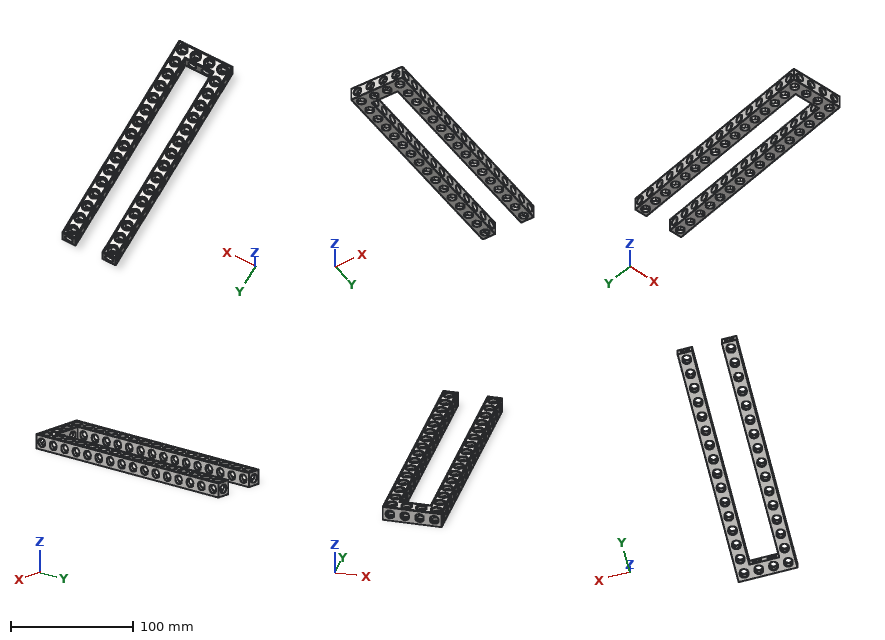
import cadquery as cq

length = 200
holes_across = 4
holes_along = 16
hole_diameter = 7.0
collar_diameter = 9.2
edge_chamfer = 0.3
recess_depth = 0.2

pitch = length / holes_along
width = holes_across * pitch
height = pitch
rim_width = (collar_diameter - hole_diameter) / 2

columns = [(i - (holes_across - 1) / 2) * pitch for i in range(holes_across)]
rows = [(j - (holes_along - 1) / 2) * pitch for j in range(holes_along)]
leg_columns = [columns[0], columns[-1]]
inner_columns = columns[1:-1]
bar_row = rows[0]
vertical_centres = [(x, y) for x in leg_columns for y in rows]
vertical_centres += [(x, bar_row) for x in inner_columns]

origin = cq.Vector(0, 0, 0)
x_axis = cq.Vector(1, 0, 0)
y_axis = cq.Vector(0, 1, 0)


def u_prism(inset, thickness):
    """U-shaped plate, legs toward +Y, with its outline moved inward by inset."""
    outer = cq.Workplane("XY").box(width - 2 * inset, length - 2 * inset, thickness)
    slot_width = width - 2 * pitch + 2 * inset
    slot = cq.Workplane("XY").box(slot_width, length, thickness)
    return outer.cut(slot.translate((0, pitch - inset, 0)))


def chamfered_frame():
    """Solid U with every edge chamfered except the two upright inner corners of the slot."""
    slot_half = width / 2 - pitch
    slot_bottom = -length / 2 + pitch
    margin = edge_chamfer
    inner_corners = cq.selectors.BoxSelector(
        (-slot_half - margin, slot_bottom - margin, -margin),
        (slot_half + margin, slot_bottom + margin, margin),
    )
    all_edges = cq.selectors.StringSyntaxSelector("|X or |Y or |Z")
    return u_prism(0, height).edges(all_edges - inner_corners).chamfer(edge_chamfer)


def hole_cutter(depth):
    """Cylinder along Z, centred on the origin, flared at both ends to chamfer the hole mouths."""
    radius = hole_diameter / 2
    end = depth / 2
    profile = [
        (0, -end),
        (radius + edge_chamfer, -end),
        (radius, -end + edge_chamfer),
        (radius, end - edge_chamfer),
        (radius + edge_chamfer, end),
        (0, end),
    ]
    return cq.Workplane("XZ").polyline(profile).close().revolve(360, (0, 0), (0, 1)).val()


def placed(cutter, x, y):
    """Copy of a cutter moved to (x, y) at mid height."""
    return cutter.moved(cq.Location(cq.Vector(x, y, 0)))


def all_hole_cutters():
    """Vertical holes, holes along X in every row and holes along Y in every column."""
    along_z = hole_cutter(height)
    along_x = hole_cutter(pitch).rotate(origin, y_axis, 90)
    along_y = hole_cutter(pitch).rotate(origin, x_axis, 90)
    full_width = hole_cutter(width).rotate(origin, y_axis, 90)
    full_length = hole_cutter(length).rotate(origin, x_axis, 90)

    cutters = [placed(along_z, x, y) for x, y in vertical_centres]
    cutters += [placed(along_x, x, y) for x in leg_columns for y in rows[1:]]
    cutters += [placed(along_y, x, bar_row) for x in inner_columns]
    cutters.append(placed(full_width, 0, bar_row))
    cutters += [placed(full_length, x, 0) for x in leg_columns]
    return cutters


def top_recess():
    """U-shaped recess leaving a rim along every edge and a collar around each hole."""
    collars = cq.Workplane("XY").pushPoints(vertical_centres).circle(collar_diameter / 2)
    collars = collars.extrude(recess_depth / 2, both=True)
    recess = u_prism(rim_width, recess_depth).cut(collars)
    return recess.translate((0, 0, (height - recess_depth) / 2))


frame = chamfered_frame()
for cutter in all_hole_cutters():
    frame = frame.cut(cq.Workplane(cutter))

result = frame.cut(top_recess())